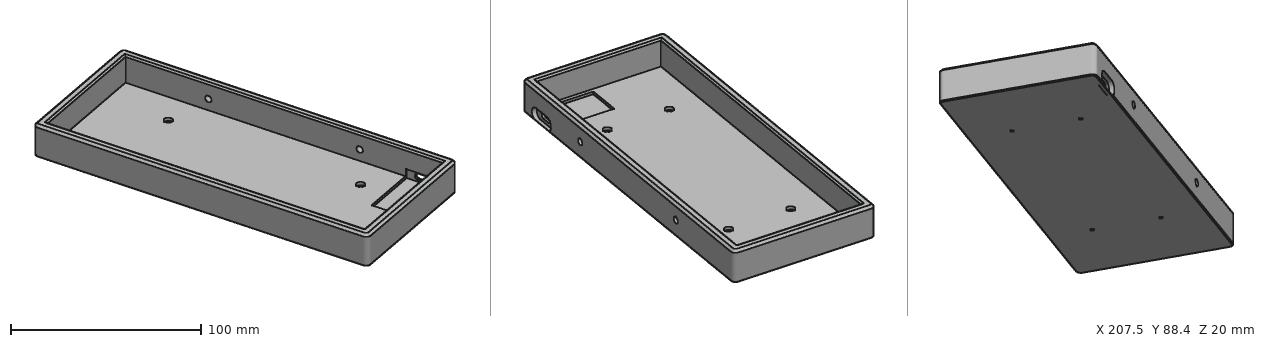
import cadquery as cq

length = 207.5
width = 88.4
height = 20.0
corner_radius = 3.0
top_chamfer = 1.5
bottom_chamfer = 0.6

wall = 5.5
floor = 3.0
rim_chamfer = 1.0
cavity_length = length - 2 * wall
cavity_width = width - 2 * wall

screw_spacing_x = 119.0
screw_spacing_y = 38.5
screw_diameter = 2.0
screw_head_diameter = 5.0
screw_head_depth = 2.0

wall_hole_diameter = 4.0
wall_hole_spacing = 93.7
wall_hole_z = height / 2

pocket_left = 75.3
pocket_right = 95.8
pocket_front = 5.0
pocket_depth = 1.7
pocket_wall_recess = 1.0
pocket_top = 7.5
pocket_back = cavity_width / 2 + pocket_wall_recess
pocket_bottom = floor - pocket_depth

slot_x = 84.8
slot_z = 4.4
slot_length = 9.0
slot_height = 4.0
plug_length = 18.7
plug_height = 8.0
plug_depth = 3.0


def make_block():
    """Solid outer block with rounded corners and chamfered top and bottom."""
    return (
        cq.Workplane("XY")
        .box(length, width, height, centered=(True, True, False))
        .edges("|Z")
        .fillet(corner_radius)
        .faces(">Z")
        .chamfer(top_chamfer)
        .faces("<Z")
        .chamfer(bottom_chamfer)
    )


def make_cavity():
    """Rectangular cavity that flares out at 45 degrees at the rim."""
    cavity = (
        cq.Workplane("XY", origin=(0, 0, floor))
        .rect(cavity_length, cavity_width)
        .extrude(height - floor)
    )
    flare = (
        cq.Workplane("XY", origin=(0, 0, height))
        .rect(cavity_length + 2 * rim_chamfer, cavity_width + 2 * rim_chamfer)
        .extrude(-rim_chamfer, taper=45)
    )
    return cavity.union(flare)


def make_screw_holes():
    """Four through holes with their counterbores sunk from the floor."""
    floor_points = cq.Workplane("XY", origin=(0, 0, floor)).rarray(screw_spacing_x, screw_spacing_y, 2, 2)
    shanks = floor_points.circle(screw_diameter / 2).extrude(-floor)
    heads = floor_points.circle(screw_head_diameter / 2).extrude(-screw_head_depth)
    return shanks.union(heads)


def back_wall_plane(x, z):
    """Sketch plane on the outside of the back wall; extruding goes into the wall."""
    return cq.Workplane("XZ", origin=(x, width / 2, z))


def make_wall_holes():
    """Pair of round holes through the back wall."""
    return (
        back_wall_plane(0, wall_hole_z)
        .rarray(wall_hole_spacing, 2, 2, 1)
        .circle(wall_hole_diameter / 2)
        .extrude(wall)
    )


def make_board_pocket():
    """Shallow box below the floor level that also bites into the back wall."""
    return cq.Workplane("XY", origin=(pocket_left, pocket_front, pocket_bottom)).box(
        pocket_right - pocket_left,
        pocket_back - pocket_front,
        pocket_top - pocket_bottom,
        centered=False,
    )


def make_connector_opening():
    """Connector slot through the wall and the plug recess around it."""
    slot = back_wall_plane(slot_x, slot_z).slot2D(slot_length, slot_height).extrude(wall)
    plug_recess = back_wall_plane(slot_x, slot_z).slot2D(plug_length, plug_height).extrude(plug_depth)
    return slot.union(plug_recess)


result = (
    make_block()
    .cut(make_cavity())
    .cut(make_screw_holes())
    .cut(make_wall_holes())
    .cut(make_board_pocket())
    .cut(make_connector_opening())
)